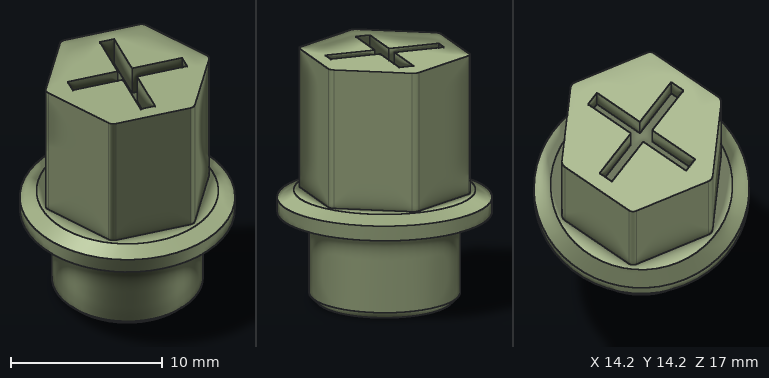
import cadquery as cq
import math

total_height = 17.0
flange_bottom = 6.02
flange_top = 7.51

shank_diameter = 10.0
shank_chamfer = 0.5

flange_diameter = 14.2
flange_top_diameter = 12.0
flange_bevel_height = 0.5

hex_across_flats = shank_diameter
hex_edge_radius = 0.5

slot_length = 8.0
slot_width = 1.0
slot_depth = 2.0


def make_base():
    """Revolve the shank and flange around Z as one profile."""
    shank_radius = shank_diameter / 2
    flange_radius = flange_diameter / 2
    return (
        cq.Workplane("XZ")
        .moveTo(0, 0)
        .lineTo(shank_radius - shank_chamfer, 0)
        .lineTo(shank_radius, shank_chamfer)
        .lineTo(shank_radius, flange_bottom)
        .lineTo(flange_radius, flange_bottom)
        .lineTo(flange_radius, flange_top - flange_bevel_height)
        .lineTo(flange_top_diameter / 2, flange_top)
        .lineTo(0, flange_top)
        .close()
        .revolve(360, (0, 0, 0), (0, 1, 0))
    )


def make_head():
    """Hexagonal prism with two flats facing +X and -X, and rounded edges."""
    across_corners = hex_across_flats / math.cos(math.pi / 6)
    return (
        cq.Workplane("XY")
        .polygon(6, across_corners)
        .extrude(total_height - flange_top)
        .edges("|Z")
        .fillet(hex_edge_radius)
        .rotate((0, 0, 0), (0, 0, 1), 30)
        .translate((0, 0, flange_top))
    )


def make_cross_recess():
    """Two crossed bars reaching down from the top of the head."""
    floor = cq.Workplane("XY").workplane(offset=total_height - slot_depth)
    bar_along_x = floor.rect(slot_length, slot_width).extrude(slot_depth)
    bar_along_y = floor.rect(slot_width, slot_length).extrude(slot_depth)
    return bar_along_x.union(bar_along_y)


result = make_base().union(make_head()).cut(make_cross_recess())